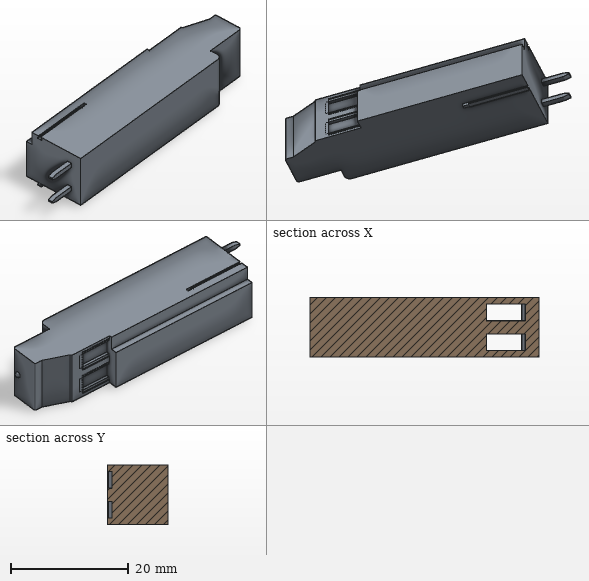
import cadquery as cq

pitch = 5.08
pole_count = 2
body_width = 12.2
body_height = pole_count * pitch
body_length = 44.8

block_length = 30.1
neck_x = 1.7
nose_left_x = 3.9
nose_right_x = 9.7
slope_start_y = 38.6
slope_end_y = 43.3
ledge_width = 0.3
ledge_rise = 0.2
nose_length = 8.0
shoulder_y = body_length - nose_length
shoulder_radius = 1.0
nose_right_radius = 0.5
nose_left_radius = 0.3

step_width = 1.2
step_height = 2.6

rail_x = 2.95
rail_length = 11.9
rail_lead_in = 1.1
rail_neck_width = 0.5
rail_foot_width = 0.84
rail_height = 0.6
rail_foot_height = 0.15

pocket_length = 5.95
pocket_height = 3.8
pocket_depth = 0.2
recess_height = 2.8
recess_depth = 0.75
recess_undercut = 0.6

pin_x = 9.68
pin_size = 0.9
pin_length = 5.0
pin_taper_length = 1.0
pin_tip_height = 0.3

bump_x = 8.4
bump_height = 0.5
bump_base_radius = 0.55

pole_heights = [(pole + 0.5) * pitch for pole in range(pole_count)]


def box(x, y, z, dx, dy, dz):
    """Box with its lowest corner at (x, y, z)."""
    return cq.Workplane("XY").box(dx, dy, dz, centered=False).translate((x, y, z))


def round_edge(solid, x, y, radius):
    """Fillet the vertical edge standing at (x, y)."""
    nearest = cq.selectors.NearestToPointSelector((x, y, body_height / 2))
    return solid.edges("|Z").edges(nearest).fillet(radius)


def make_housing():
    outline = [
        (0, 0),
        (body_width, 0),
        (body_width, shoulder_y),
        (nose_right_x, shoulder_y),
        (nose_right_x, body_length),
        (nose_left_x, body_length),
        (nose_left_x, slope_end_y),
        (neck_x + ledge_width, slope_start_y),
        (neck_x, slope_start_y - ledge_rise),
        (neck_x, block_length),
        (0, block_length),
    ]
    housing = cq.Workplane("XY").polyline(outline).close().extrude(body_height)

    housing = round_edge(housing, body_width, shoulder_y, shoulder_radius)
    housing = round_edge(housing, nose_right_x, body_length, nose_right_radius)
    housing = round_edge(housing, nose_left_x, body_length, nose_left_radius)
    step = box(0, 0, body_height - step_height, step_width, block_length, step_height)
    return housing.cut(step)


def make_rail(base_z):
    """Dovetail bar hanging below base_z, with a plain narrow lead-in at its rear end."""
    neck = rail_neck_width / 2
    foot = rail_foot_width / 2
    foot_z = -rail_height + rail_foot_height
    section = [
        (-neck, 0),
        (-foot, foot_z),
        (-foot, -rail_height),
        (foot, -rail_height),
        (foot, foot_z),
        (neck, 0),
    ]
    dovetail_length = rail_length - rail_lead_in
    dovetail = cq.Workplane("XZ").polyline(section).close().extrude(-dovetail_length)
    lead_in = box(-neck, dovetail_length, -rail_height, rail_neck_width, rail_lead_in, rail_height)
    return dovetail.union(lead_in).translate((rail_x, 0, base_z))


def make_pocket(z):
    """Shallow pocket with a narrower, deeper recess that undercuts its rear wall."""
    shallow = box(neck_x, block_length, z - pocket_height / 2, pocket_depth, pocket_length, pocket_height)
    recess = box(
        neck_x + pocket_depth,
        block_length,
        z - recess_height / 2,
        recess_depth - pocket_depth,
        pocket_length + recess_undercut,
        recess_height,
    )
    return shallow.union(recess)


def make_pin(z):
    """Square pin along -Y, tapered above and below towards its tip."""
    half = pin_size / 2
    tip = pin_tip_height / 2
    taper_y = -pin_length + pin_taper_length
    profile = [
        (0, -half),
        (taper_y, -half),
        (-pin_length, -tip),
        (-pin_length, tip),
        (taper_y, half),
        (0, half),
    ]
    pin = cq.Workplane("YZ").polyline(profile).close().extrude(pin_size)
    return pin.translate((pin_x - half, 0, z))


def make_bump():
    """Spherical cap standing on the rear face."""
    sphere_radius = (bump_base_radius**2 + bump_height**2) / (2 * bump_height)
    centre_y = body_length + bump_height - sphere_radius
    return cq.Workplane("XY").sphere(sphere_radius).translate((bump_x, centre_y, body_height / 2))


result = make_housing()
result = result.cut(make_rail(body_height))
result = result.union(make_rail(0))
for pole_z in pole_heights:
    result = result.cut(make_pocket(pole_z))
    result = result.union(make_pin(pole_z))
result = result.union(make_bump())